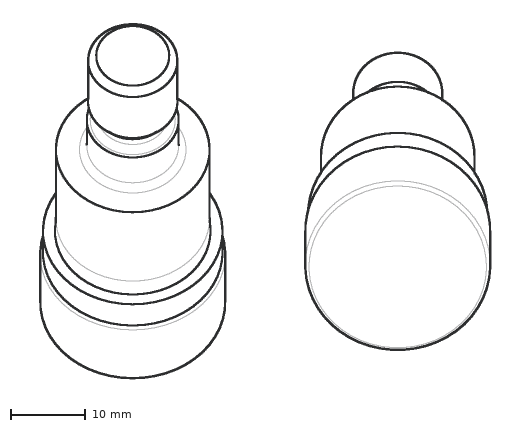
import cadquery as cq
import math

total_height = 58.0

cap_radius = 12.5
cap_side_top = 11.65
cap_round = 0.5

flange_radius = 12.1
flange_top = 17.1
barrel_radius = 10.4
barrel_foot_radius = 10.5
barrel_foot_top = 20.05
barrel_top = 36.15
collar_radius = 6.2
collar_top = 43.05
collar_fillet = 1.0
neck_radius = 4.75
neck_top = 45.25
neck_fillet = 1.0
head_radius = 6.05
head_bottom = 47.3
head_chamfer = 1.1

rim_center_radius = cap_radius - cap_round
rim_end_angle = math.acos((flange_radius - rim_center_radius) / cap_round)
cap_top = cap_side_top + cap_round * math.sin(rim_end_angle)


def round_point(center_radius, center_z, radius, angle):
    """Profile point on a rounding of the given radius, at an angle in radians."""
    return (center_radius + radius * math.cos(angle), center_z + radius * math.sin(angle))


def revolve_about_z(profile):
    """Full turn of a closed radius-height profile about the Z axis."""
    return profile.revolve(360, (0, 0, 0), (0, 1, 0))


def make_cap():
    """Solid base disc with rounded rims and a flat seat for the stud."""
    profile = (
        cq.Workplane("XZ")
        .lineTo(rim_center_radius, 0)
        .threePointArc(
            round_point(rim_center_radius, cap_round, cap_round, -math.pi / 4),
            (cap_radius, cap_round),
        )
        .lineTo(cap_radius, cap_side_top)
        .threePointArc(
            round_point(rim_center_radius, cap_side_top, cap_round, rim_end_angle / 2),
            (flange_radius, cap_top),
        )
        .lineTo(0, cap_top)
        .close()
    )
    return revolve_about_z(profile)


def make_stud():
    """Stepped stud: flange, barrel, collar, undercut neck and chamfered head."""
    concave_middle = -3 * math.pi / 4
    profile = (
        cq.Workplane("XZ")
        .moveTo(0, cap_top)
        .lineTo(flange_radius, cap_top)
        .lineTo(flange_radius, flange_top)
        .lineTo(barrel_foot_radius, flange_top)
        .lineTo(barrel_radius, barrel_foot_top)
        .lineTo(barrel_radius, barrel_top)
        .lineTo(collar_radius + collar_fillet, barrel_top)
        .threePointArc(
            round_point(
                collar_radius + collar_fillet, barrel_top + collar_fillet, collar_fillet, concave_middle
            ),
            (collar_radius, barrel_top + collar_fillet),
        )
        .lineTo(collar_radius, collar_top)
        .lineTo(neck_radius + neck_fillet, collar_top)
        .threePointArc(
            round_point(neck_radius + neck_fillet, collar_top + neck_fillet, neck_fillet, concave_middle),
            (neck_radius, collar_top + neck_fillet),
        )
        .lineTo(neck_radius, neck_top)
        .lineTo(head_radius, head_bottom)
        .lineTo(head_radius, total_height - head_chamfer)
        .lineTo(head_radius - head_chamfer, total_height)
        .lineTo(0, total_height)
        .close()
    )
    return revolve_about_z(profile)


cap = make_cap()
stud = make_stud()

result = cq.Compound.makeCompound([cap.val(), stud.val()])